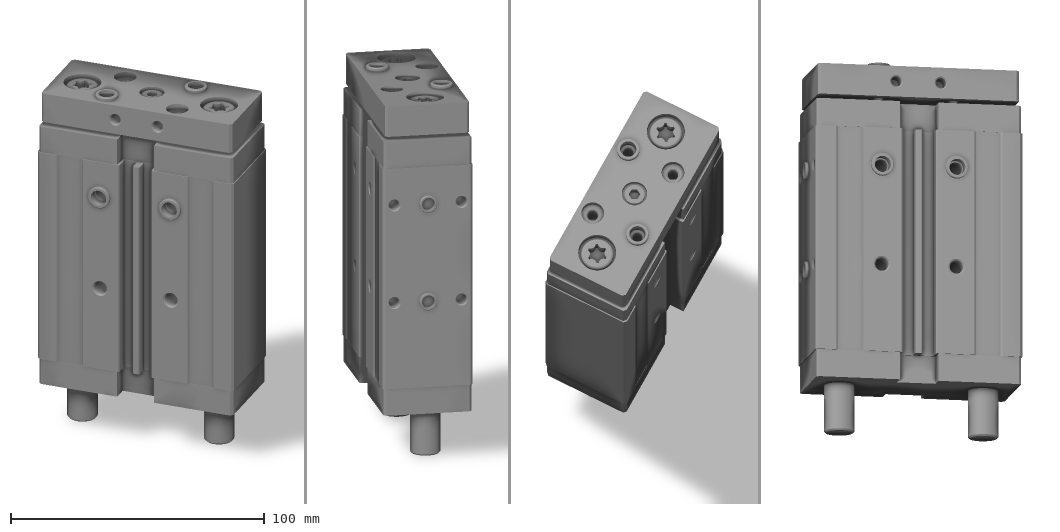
import cadquery as cq
import math


BOTTOM_CAP_Z = 19.1
CAP_HEIGHT = 11.0
BARREL_HEIGHT = 90.0
YOKE_GAP = 1.9
PLATE_HEIGHT = 12.3
BARREL_Z = BOTTOM_CAP_Z + CAP_HEIGHT
TOP_CAP_Z = BARREL_Z + BARREL_HEIGHT
TOP_CAP_TOP_Z = TOP_CAP_Z + CAP_HEIGHT
PLATE_Z = TOP_CAP_TOP_Z + YOKE_GAP
PLATE_TOP_Z = PLATE_Z + PLATE_HEIGHT

BARREL_WIDTH = 83.1
BARREL_DEPTH = 36.3
CAP_INSET = 0.5
CAP_WIDTH = BARREL_WIDTH - 2 * CAP_INSET
CAP_DEPTH = BARREL_DEPTH - 2 * CAP_INSET
PLATE_INSET = 1.2
PLATE_WIDTH = BARREL_WIDTH - 2 * PLATE_INSET
PLATE_DEPTH = BARREL_DEPTH - 2 * PLATE_INSET
CORNER_CHAMFER = 1.0

CHANNEL_WIDTH = 13.5
CHANNEL_DEPTH = 5.9
CHANNEL_EDGE_CHAMFER = 0.5
CAP_CHANNEL_WIDTH = 15.5
RIB_WIDTH = 2.8
RIB_SETBACK = 0.9
RIB_HEIGHT = CHANNEL_DEPTH - RIB_SETBACK
RIB_CHAMFER = 0.5
PANEL_OUTER_X = 33.5
PANEL_INNER_X = 22.6
PANEL_DEPTH = 0.6
PANEL_OUTER_SLOPE = 0.9
PANEL_INNER_SLOPE = 0.5

ROD_DIAMETER = 12.0
ROD_X = 28.9
ROD_Y = -1.3
ROD_END_CHAMFER = 0.6
PISTON_ROD_DIAMETER = 8.5

ROD_RECESS_DIAMETER = 15.0
ROD_HEAD_DIAMETER = 12.9
ROD_RECESS_DEPTH = 3.0
ROD_HEAD_SETBACK = 1.0
ROD_HEAD_ROUND = 1.2
STAR_TIP_DIAMETER = 8.0
STAR_ROOT_DIAMETER = 5.7
STAR_LOBES = 6
STAR_TIP_HALF_ANGLE = 7.0
STAR_DEPTH = 4.4
PISTON_RECESS_DIAMETER = 10.0
PISTON_HEAD_DIAMETER = 8.0
PISTON_RECESS_DEPTH = 1.8
PISTON_HEAD_SETBACK = 0.9
HEX_ACROSS_FLATS = 4.0
HEX_DEPTH = 3.0

LARGE_SLEEVE_DIAMETER = 9.0
LARGE_SLEEVE_BORE = 6.5
LARGE_SLEEVE_PROJECTION = 1.5
LARGE_SEAT_DEPTH = 2.5
SMALL_SLEEVE_DIAMETER = 7.0
SMALL_SLEEVE_BORE = 5.3
SMALL_SLEEVE_PROJECTION = 1.2
SMALL_SEAT_DEPTH = 1.6
SLEEVE_CHAMFER = 0.3

HOLE_X = 15.0
PORT_PITCH_Z = 40.0
UPPER_HOLE_Z = 105.1
LOWER_HOLE_Z = UPPER_HOLE_Z - PORT_PITCH_Z
HOLE_ROWS = (UPPER_HOLE_Z, LOWER_HOLE_Z)
THROUGH_DIAMETER = 5.3
THROUGH_MOUTH = 6.5
PLATE_HOLE_PITCH_Y = 20.0
PLATE_HOLE_CENTER_Y = -0.7
PLATE_HOLE_DIAMETER = 4.1
PLATE_HOLE_MOUTH = 5.0
SIDE_HOLE_Y = 13.5
SIDE_HOLE_MOUTH = 5.0
SIDE_HOLE_DEPTH = 8.8
FRONT_HOLE_X = 9.0
FRONT_HOLE_MOUTH = 5.1
FRONT_HOLE_DEPTH = 7.3
TAPPED_DIAMETER = 4.1
DRILL_POINT_ANGLE = 118.0

UP = cq.Vector(0, 0, 1)
DOWN = cq.Vector(0, 0, -1)
BACK = cq.Vector(0, 1, 0)
INWARD = cq.Vector(1, 0, 0)


def cylinder(diameter, length, start, direction):
    return cq.Solid.makeCylinder(diameter / 2, length, start, direction)


def cone(start_diameter, end_diameter, length, start, direction):
    return cq.Solid.makeCone(start_diameter / 2, end_diameter / 2, length, start, direction)


def mouth_chamfer(mouth, diameter, start, direction):
    """45 degree countersink that opens a hole of the given diameter to its mouth."""
    return cone(mouth, diameter, (mouth - diameter) / 2, start, direction)


def drilled_hole(mouth, depth, start, direction):
    """Blind tapped hole with a countersunk mouth and a conical drill point."""
    bore = cylinder(TAPPED_DIAMETER, depth, start, direction)
    point_length = TAPPED_DIAMETER / 2 / math.tan(math.radians(DRILL_POINT_ANGLE / 2))
    point = cone(TAPPED_DIAMETER, 0, point_length, start + direction * depth, direction)
    return bore.fuse(point, mouth_chamfer(mouth, TAPPED_DIAMETER, start, direction))


def sleeve(diameter, bore, length, start, direction):
    """Centring sleeve with chamfered outer rims, starting at its exposed face."""
    pin = cq.Workplane(cylinder(diameter, length, start, direction))
    pin = pin.edges("%CIRCLE").chamfer(SLEEVE_CHAMFER)
    return pin.cut(cylinder(bore, length, start, direction)).val()


def block(width, depth, height, z):
    """Upright block with chamfered vertical corners."""
    box = cq.Workplane("XY", origin=(0, 0, z)).rect(width, depth).extrude(height)
    return box.edges("|Z").chamfer(CORNER_CHAMFER)


def rod_points():
    return [cq.Vector(side * ROD_X, ROD_Y, 0) for side in (-1, 1)]


def end_cap(z):
    cap = block(CAP_WIDTH, CAP_DEPTH, CAP_HEIGHT, z)
    for side in (-1, 1):
        channel_y = side * (BARREL_DEPTH / 2 - CHANNEL_DEPTH / 2)
        channel = cq.Workplane("XY", origin=(0, channel_y, z)).rect(
            CAP_CHANNEL_WIDTH, CHANNEL_DEPTH + 2 * CAP_INSET)
        cap = cap.cut(channel.extrude(CAP_HEIGHT))
    for point in rod_points():
        cap = cap.cut(cylinder(ROD_DIAMETER, CAP_HEIGHT, point + UP * z, UP))
    return cap


def top_cap_with_rod_bore():
    bore = cylinder(PISTON_ROD_DIAMETER, CAP_HEIGHT, UP * TOP_CAP_Z, UP)
    return end_cap(TOP_CAP_Z).cut(bore)


def barrel_section():
    """Barrel outline: the rear right quarter, mirrored to the front and then to the left."""
    half_width = BARREL_WIDTH / 2
    half_depth = BARREL_DEPTH / 2
    half_channel = CHANNEL_WIDTH / 2
    panel_y = half_depth - PANEL_DEPTH
    quarter = [
        (half_channel, half_depth - CHANNEL_DEPTH),
        (half_channel, half_depth - CHANNEL_EDGE_CHAMFER),
        (half_channel + CHANNEL_EDGE_CHAMFER, half_depth),
        (PANEL_INNER_X - PANEL_INNER_SLOPE, half_depth),
        (PANEL_INNER_X, panel_y),
        (PANEL_OUTER_X - PANEL_OUTER_SLOPE, panel_y),
        (PANEL_OUTER_X, half_depth),
        (half_width - CORNER_CHAMFER, half_depth),
        (half_width, half_depth - CORNER_CHAMFER),
    ]
    front_right = [(x, -y) for x, y in reversed(quarter)]
    right = quarter + front_right
    left = [(-x, y) for x, y in reversed(right)]
    return right + left


def channel_rib():
    rib_front = BARREL_DEPTH / 2 - RIB_SETBACK
    rib_y = -(rib_front - RIB_HEIGHT / 2)
    rib = cq.Workplane("XY", origin=(0, rib_y, BARREL_Z)).rect(RIB_WIDTH, RIB_HEIGHT)
    return rib.extrude(BARREL_HEIGHT).edges("|Z and <Y").chamfer(RIB_CHAMFER)


def barrel_front_holes():
    tools = []
    face_y = -BARREL_DEPTH / 2
    for x in (-HOLE_X, HOLE_X):
        for z in HOLE_ROWS:
            start = cq.Vector(x, face_y, z)
            tools.append(cylinder(THROUGH_DIAMETER, BARREL_DEPTH, start, BACK))
            tools.append(mouth_chamfer(THROUGH_MOUTH, THROUGH_DIAMETER, start, BACK))
        seat_start = cq.Vector(x, face_y, UPPER_HOLE_Z)
        tools.append(cylinder(LARGE_SLEEVE_DIAMETER, LARGE_SEAT_DEPTH, seat_start, BACK))
    return tools


def barrel_side_holes():
    tools = []
    face_x = -BARREL_WIDTH / 2
    for z in HOLE_ROWS:
        tools.append(cylinder(SMALL_SLEEVE_DIAMETER, SMALL_SEAT_DEPTH, cq.Vector(face_x, 0, z), INWARD))
        for y in (-SIDE_HOLE_Y, SIDE_HOLE_Y):
            start = cq.Vector(face_x, y, z)
            tools.append(drilled_hole(SIDE_HOLE_MOUTH, SIDE_HOLE_DEPTH, start, INWARD))
    return tools


def make_barrel():
    body = cq.Workplane("XY", origin=(0, 0, BARREL_Z)).polyline(barrel_section()).close()
    body = body.extrude(BARREL_HEIGHT).union(channel_rib())
    rod_bores = [cylinder(ROD_DIAMETER, BARREL_HEIGHT, p + UP * BARREL_Z, UP) for p in rod_points()]
    for tool in rod_bores + barrel_front_holes() + barrel_side_holes():
        body = body.cut(tool)
    return body


def plate_hole_points():
    """(x, y, holds a sleeve) for the four seats in the top of the plate."""
    points = []
    for x_side in (-1, 1):
        for y_side in (-1, 1):
            y = PLATE_HOLE_CENTER_Y + y_side * PLATE_HOLE_PITCH_Y / 2
            points.append((x_side * HOLE_X, y, x_side == y_side))
    return points


def star_socket(center):
    """Six-lobed socket with one lobe pointing along +Y."""
    tip_radius = STAR_TIP_DIAMETER / 2
    root_radius = STAR_ROOT_DIAMETER / 2
    pitch = 360 / STAR_LOBES

    def polar(radius, degrees):
        angle = math.radians(degrees)
        return (radius * math.cos(angle), radius * math.sin(angle))

    first = 90 - STAR_TIP_HALF_ANGLE
    outline = cq.Workplane("XY", origin=center.toTuple()).moveTo(*polar(tip_radius, first))
    for lobe in range(STAR_LOBES):
        tip = 90 + lobe * pitch
        outline = outline.threePointArc(
            polar(tip_radius, tip), polar(tip_radius, tip + STAR_TIP_HALF_ANGLE))
        outline = outline.threePointArc(
            polar(root_radius, tip + pitch / 2), polar(tip_radius, tip + pitch - STAR_TIP_HALF_ANGLE))
    return outline.close().extrude(-STAR_DEPTH)


def screw_head(diameter, recess_depth, setback, base):
    """Round head standing in its recess."""
    start = base + UP * (PLATE_TOP_Z - recess_depth)
    return cq.Workplane(cylinder(diameter, recess_depth - setback, start, UP))


def add_rod_head(plate, base):
    top = base + UP * PLATE_TOP_Z
    plate = plate.cut(cylinder(ROD_RECESS_DIAMETER, ROD_RECESS_DEPTH, top, DOWN))
    head = screw_head(ROD_HEAD_DIAMETER, ROD_RECESS_DEPTH, ROD_HEAD_SETBACK, base)
    plate = plate.union(head.faces(">Z").edges().fillet(ROD_HEAD_ROUND))
    return plate.cut(star_socket(top - UP * ROD_HEAD_SETBACK))


def add_piston_head(plate):
    top = UP * PLATE_TOP_Z
    plate = plate.cut(cylinder(PISTON_RECESS_DIAMETER, PISTON_RECESS_DEPTH, top, DOWN))
    plate = plate.union(
        screw_head(PISTON_HEAD_DIAMETER, PISTON_RECESS_DEPTH, PISTON_HEAD_SETBACK, cq.Vector()))
    socket = cq.Workplane("XY", origin=(0, 0, PLATE_TOP_Z - PISTON_HEAD_SETBACK))
    corner_diameter = HEX_ACROSS_FLATS / math.cos(math.radians(30))
    return plate.cut(socket.polygon(6, corner_diameter).extrude(-HEX_DEPTH))


def plate_holes():
    tools = []
    for x, y, _ in plate_hole_points():
        top = cq.Vector(x, y, PLATE_TOP_Z)
        seat_floor = top + DOWN * LARGE_SEAT_DEPTH
        tools.append(cylinder(LARGE_SLEEVE_DIAMETER, LARGE_SEAT_DEPTH, top, DOWN))
        tools.append(cylinder(PLATE_HOLE_DIAMETER, PLATE_HEIGHT, top, DOWN))
        tools.append(mouth_chamfer(PLATE_HOLE_MOUTH, PLATE_HOLE_DIAMETER, seat_floor, DOWN))
    for x in (-FRONT_HOLE_X, FRONT_HOLE_X):
        start = cq.Vector(x, -PLATE_DEPTH / 2, PLATE_Z + PLATE_HEIGHT / 2)
        tools.append(drilled_hole(FRONT_HOLE_MOUTH, FRONT_HOLE_DEPTH, start, BACK))
    return tools


def make_yoke():
    yoke = block(PLATE_WIDTH, PLATE_DEPTH, PLATE_HEIGHT, PLATE_Z)
    for base in rod_points():
        rod = cq.Workplane(cylinder(ROD_DIAMETER, PLATE_Z, base, UP))
        yoke = yoke.union(rod.faces("<Z").chamfer(ROD_END_CHAMFER))
        yoke = add_rod_head(yoke, base)
    piston_rod = cylinder(PISTON_ROD_DIAMETER, PLATE_Z - TOP_CAP_Z, UP * TOP_CAP_Z, UP)
    yoke = add_piston_head(yoke.union(piston_rod))
    for tool in plate_holes():
        yoke = yoke.cut(tool)
    return yoke


def large_sleeve(face_point, inward):
    length = LARGE_SLEEVE_PROJECTION + LARGE_SEAT_DEPTH
    start = face_point - inward * LARGE_SLEEVE_PROJECTION
    return sleeve(LARGE_SLEEVE_DIAMETER, LARGE_SLEEVE_BORE, length, start, inward)


def small_sleeve(face_point, inward):
    length = SMALL_SLEEVE_PROJECTION + SMALL_SEAT_DEPTH
    start = face_point - inward * SMALL_SLEEVE_PROJECTION
    return sleeve(SMALL_SLEEVE_DIAMETER, SMALL_SLEEVE_BORE, length, start, inward)


barrel = make_barrel()
bottom_cap = end_cap(BOTTOM_CAP_Z)
top_cap = top_cap_with_rod_bore()
yoke = make_yoke()

plate_sleeves = []
for hole_x, hole_y, has_sleeve in plate_hole_points():
    if has_sleeve:
        plate_sleeves.append(large_sleeve(cq.Vector(hole_x, hole_y, PLATE_TOP_Z), DOWN))

front_sleeves = []
for hole_x in (-HOLE_X, HOLE_X):
    front_sleeves.append(large_sleeve(cq.Vector(hole_x, -BARREL_DEPTH / 2, UPPER_HOLE_Z), BACK))

side_sleeves = []
for hole_z in HOLE_ROWS:
    side_sleeves.append(small_sleeve(cq.Vector(-BARREL_WIDTH / 2, 0, hole_z), INWARD))

result = cq.Compound.makeCompound([
    barrel.val(),
    bottom_cap.val(),
    top_cap.val(),
    yoke.val(),
    *plate_sleeves,
    *front_sleeves,
    *side_sleeves,
])